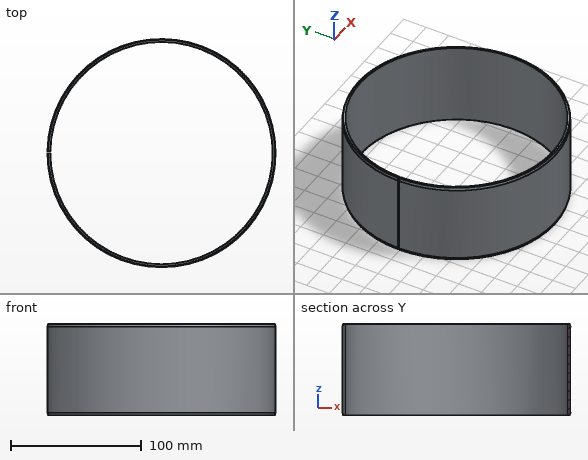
import cadquery as cq

outer_diameter = 175.0
height = 70.0
wall = 2.5

taper_height = 2.1
taper_depth = 0.7

split_width = 1.4

outer_radius = outer_diameter / 2
inner_radius = outer_radius - wall
end_radius = outer_radius - taper_depth
half_height = height / 2
taper_start = half_height - taper_height


def make_ring():
    """Revolve the wall section, tapered at both outer edges, about Z."""
    section = [
        (inner_radius, -half_height),
        (end_radius, -half_height),
        (outer_radius, -taper_start),
        (outer_radius, taper_start),
        (end_radius, half_height),
        (inner_radius, half_height),
    ]
    return cq.Workplane("XZ").polyline(section).close().revolve(360, (0, 0, 0), (0, 1, 0))


def make_split():
    """Narrow block that cuts the ring open on the -X side."""
    block = cq.Workplane("XY").box(outer_radius, split_width, height, centered=(False, False, True))
    return block.translate((-outer_radius, 0, 0))


result = make_ring().cut(make_split())